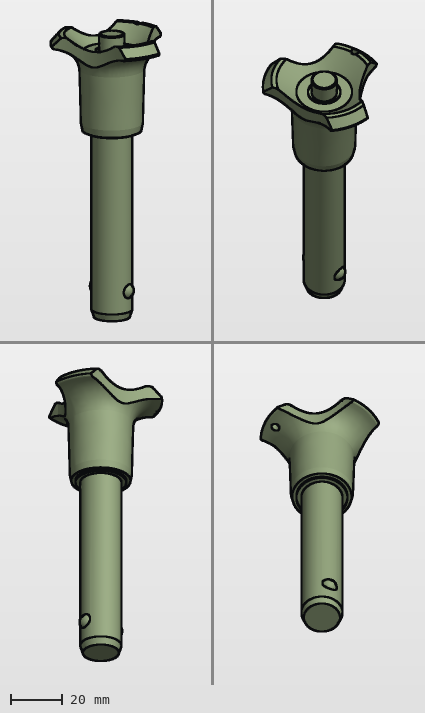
import cadquery as cq
import math


TOTAL_HEIGHT = 113.7

SHANK_RADIUS = 8.0
TIP_RADIUS = 7.0
TIP_CHAMFER_HEIGHT = 3.05

BALL_RADIUS = 3.25
BALL_REACH = 9.55
BALL_HEIGHT = 11.4
BALL_OFFSET = BALL_REACH - BALL_RADIUS

COLLAR_BOTTOM_DEPTH = 39.4
COLLAR_TOP_DEPTH = 38.7
COLLAR_RADIUS = 9.9
CHAMFER_TOP_DEPTH = 35.75
CHAMFER_RADIUS = 11.5
BODY_BOTTOM_RADIUS = 12.1
BODY_TOP_RADIUS = 12.65
BODY_TOP_DEPTH = 14.3

FLARE_MID_RADIUS = 16.1
FLARE_MID_DEPTH = 7.6
FLARE_END_RADIUS = 22.6
FLARE_END_DEPTH = 5.0
RIM_RADIUS = 23.8
RIM_DEPTH = 3.9
RIM_BULGE_RADIUS = 23.5
RIM_BULGE_DEPTH = 4.65

CROWN_OUTER_RADIUS = 20.5
CROWN_INNER_RADIUS = 18.5
CROWN_MID_RADIUS = (CROWN_OUTER_RADIUS + CROWN_INNER_RADIUS) / 2
CROWN_EDGE_DEPTH = 0.2
BOWL_FLOOR_RADIUS = 10.8
BOWL_FLOOR_DEPTH = 6.7

BUTTON_RADIUS = 4.9
BUTTON_CHAMFER = 0.4
BUTTON_RECESS_RADIUS = 6.3
BUTTON_RECESS_DEPTH = 7.1

SCALLOP_CLEARANCE = 13.85
BACK_LOBE_HALF_WIDTH = 8.45
BACK_LOBE_STRAIGHT_START = 16.5
SIDE_LOBE_BACK_CORNER = (23.635, -2.84)
FRONT_CORNER = (16.95, -16.7)
SIDE_SCALLOP_ANGLE = math.radians(30)
SCALLOP_CUT_LIMIT = 2 * RIM_RADIUS

LANYARD_HOLE_DIAMETER = 3.0
LANYARD_HOLE_Y = 19.65


def from_top(radius, depth):
    """Point of a revolved profile at the given depth below the handle top."""
    return (radius, TOTAL_HEIGHT - depth)


def make_handle():
    profile = (
        cq.Workplane("XZ")
        .moveTo(*from_top(0, COLLAR_BOTTOM_DEPTH))
        .lineTo(*from_top(COLLAR_RADIUS, COLLAR_BOTTOM_DEPTH))
        .lineTo(*from_top(COLLAR_RADIUS, COLLAR_TOP_DEPTH))
        .lineTo(*from_top(CHAMFER_RADIUS, COLLAR_TOP_DEPTH))
        .lineTo(*from_top(BODY_BOTTOM_RADIUS, CHAMFER_TOP_DEPTH))
        .lineTo(*from_top(BODY_TOP_RADIUS, BODY_TOP_DEPTH))
        .threePointArc(
            from_top(FLARE_MID_RADIUS, FLARE_MID_DEPTH),
            from_top(FLARE_END_RADIUS, FLARE_END_DEPTH),
        )
        .threePointArc(
            from_top(RIM_BULGE_RADIUS, RIM_BULGE_DEPTH),
            from_top(RIM_RADIUS, RIM_DEPTH),
        )
        .lineTo(*from_top(CROWN_OUTER_RADIUS, CROWN_EDGE_DEPTH))
        .threePointArc(
            from_top(CROWN_MID_RADIUS, 0),
            from_top(CROWN_INNER_RADIUS, CROWN_EDGE_DEPTH),
        )
        .lineTo(*from_top(BOWL_FLOOR_RADIUS, BOWL_FLOOR_DEPTH))
        .lineTo(*from_top(BUTTON_RECESS_RADIUS, BOWL_FLOOR_DEPTH))
        .lineTo(*from_top(BUTTON_RECESS_RADIUS, BUTTON_RECESS_DEPTH))
        .lineTo(*from_top(0, BUTTON_RECESS_DEPTH))
        .close()
    )
    return profile.revolve(360, (0, 0, 0), (0, 1, 0))


def extrude_through_lobes(outline):
    """Extrude a cutting outline from the foot of the flare to the handle top."""
    return outline.extrude(BODY_TOP_DEPTH)


def lobe_workplane():
    """Horizontal workplane at the foot of the flare."""
    return cq.Workplane("XY", origin=(0, 0, TOTAL_HEIGHT - BODY_TOP_DEPTH))


def make_front_scallop():
    corner_x, corner_y = FRONT_CORNER
    outline = (
        lobe_workplane()
        .moveTo(-corner_x, corner_y)
        .threePointArc((0, -SCALLOP_CLEARANCE), (corner_x, corner_y))
        .lineTo(corner_x, -SCALLOP_CUT_LIMIT)
        .lineTo(-corner_x, -SCALLOP_CUT_LIMIT)
        .close()
    )
    return extrude_through_lobes(outline)


def make_side_scallop():
    """Scallop on the +X side, between the back lobe and the side lobe."""
    middle = (
        SCALLOP_CLEARANCE * math.cos(SIDE_SCALLOP_ANGLE),
        SCALLOP_CLEARANCE * math.sin(SIDE_SCALLOP_ANGLE),
    )
    outline = (
        lobe_workplane()
        .moveTo(BACK_LOBE_HALF_WIDTH, SCALLOP_CUT_LIMIT)
        .lineTo(BACK_LOBE_HALF_WIDTH, BACK_LOBE_STRAIGHT_START)
        .threePointArc(middle, SIDE_LOBE_BACK_CORNER)
        .lineTo(SCALLOP_CUT_LIMIT, SIDE_LOBE_BACK_CORNER[1])
        .lineTo(SCALLOP_CUT_LIMIT, SCALLOP_CUT_LIMIT)
        .close()
    )
    return extrude_through_lobes(outline)


def make_lanyard_hole():
    outline = lobe_workplane().center(0, LANYARD_HOLE_Y).circle(LANYARD_HOLE_DIAMETER / 2)
    return extrude_through_lobes(outline)


def make_button():
    return (
        cq.Workplane("XY", origin=(0, 0, TOTAL_HEIGHT - COLLAR_BOTTOM_DEPTH))
        .circle(BUTTON_RADIUS)
        .extrude(COLLAR_BOTTOM_DEPTH)
        .faces(">Z")
        .chamfer(BUTTON_CHAMFER)
    )


def make_shank():
    profile = (
        cq.Workplane("XZ")
        .moveTo(0, 0)
        .lineTo(TIP_RADIUS, 0)
        .lineTo(SHANK_RADIUS, TIP_CHAMFER_HEIGHT)
        .lineTo(*from_top(SHANK_RADIUS, CHAMFER_TOP_DEPTH))
        .lineTo(*from_top(0, CHAMFER_TOP_DEPTH))
        .close()
    )
    return profile.revolve(360, (0, 0, 0), (0, 1, 0))


def make_ball(side):
    return cq.Workplane("XY").sphere(BALL_RADIUS).translate((side * BALL_OFFSET, 0, BALL_HEIGHT))


side_scallop = make_side_scallop()

handle = make_handle()
handle = handle.cut(make_front_scallop())
handle = handle.cut(side_scallop)
handle = handle.cut(side_scallop.mirror("YZ"))
handle = handle.cut(make_lanyard_hole())

result = handle.union(make_button()).union(make_shank())
for side in (-1, 1):
    result = result.union(make_ball(side))